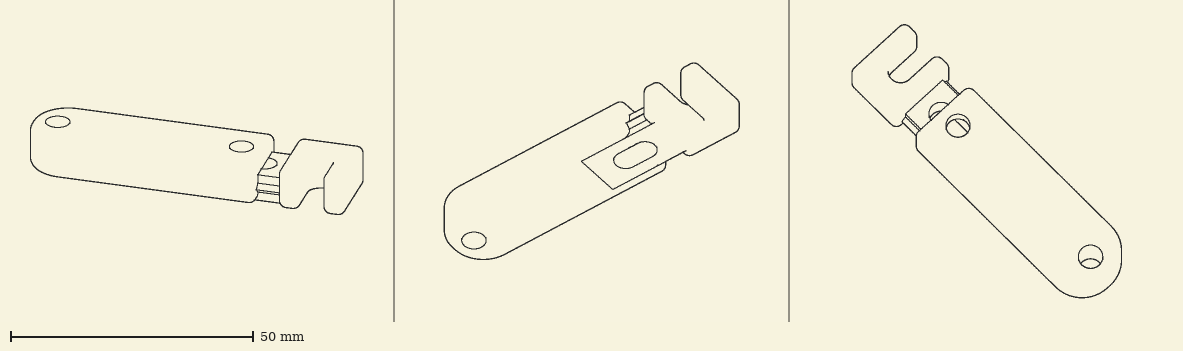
import cadquery as cq

total_length = 69.15
width = 16.0
height = 9.1
edge_radius = 1.5

housing_length = 50.0
rear_corner_radius = 7.55
rear_hole_diameter = 5.05
rear_hole_x = 5.45
pin_hole_diameter = 5.0
pin_hole_x = 44.95

slider_gap = 5.05
hook_slot_width = 5.1
hook_slot_x = 62.0
tongue_height = 5.95
tongue_width = 10.65
ridge_depth = 1.05
tongue_rear_wall = 5.0

head_start_x = housing_length + slider_gap
head_length = total_length - head_start_x
tongue_start_x = pin_hole_x - pin_hole_diameter / 2 - tongue_rear_wall
tongue_end_x = head_start_x + edge_radius
tongue_slot_end_x = pin_hole_x + slider_gap


def block(start_x, length, block_width, block_height):
    """Box centred on Y, standing on Z = 0."""
    return (
        cq.Workplane("XY")
        .box(length, block_width, block_height, centered=(False, True, False))
        .translate((start_x, 0, 0))
    )


def vertical_hole(x, diameter):
    """Cutter for a round hole through the full height."""
    return cq.Workplane("XY").center(x, 0).circle(diameter / 2).extrude(height)


def tongue_bar():
    """Bar with a 45 degree V ridge along the middle of each side."""
    half_width = tongue_width / 2
    ridge_z = tongue_height / 2
    profile = [
        (-half_width, 0),
        (half_width, 0),
        (half_width, ridge_z - ridge_depth),
        (half_width + ridge_depth, ridge_z),
        (half_width, ridge_z + ridge_depth),
        (half_width, tongue_height),
        (-half_width, tongue_height),
        (-half_width, ridge_z + ridge_depth),
        (-half_width - ridge_depth, ridge_z),
        (-half_width, ridge_z - ridge_depth),
    ]
    return (
        cq.Workplane("YZ", origin=(tongue_start_x, 0, 0))
        .polyline(profile)
        .close()
        .extrude(tongue_end_x - tongue_start_x)
    )


def hook_head():
    """Rounded block with a U slot open towards -Y."""
    slot_end = vertical_hole(hook_slot_x, hook_slot_width)
    slot_mouth = (
        cq.Workplane("XY")
        .box(hook_slot_width, width / 2, height, centered=(True, False, False))
        .translate((hook_slot_x, -width / 2, 0))
    )
    head = block(head_start_x, head_length, width, height)
    return head.cut(slot_end.union(slot_mouth)).edges().fillet(edge_radius)


def pin_slot():
    """Cutter for the slot that lets the tongue slide along a pin."""
    slot_length = tongue_slot_end_x - pin_hole_x + pin_hole_diameter
    slot_center_x = (pin_hole_x + tongue_slot_end_x) / 2
    return (
        cq.Workplane("XY")
        .center(slot_center_x, 0)
        .slot2D(slot_length, pin_hole_diameter)
        .extrude(height)
    )


def make_housing():
    """Rounded bar with two holes and a channel that fits the tongue."""
    bar = block(0, housing_length, width, height)
    bar = bar.edges("|Z and <X").fillet(rear_corner_radius)
    bar = bar.edges("|Z and >X").fillet(edge_radius)
    bar = bar.faces("<Z or >Z").edges().fillet(edge_radius)
    return (
        bar.cut(tongue_bar())
        .cut(vertical_hole(rear_hole_x, rear_hole_diameter))
        .cut(vertical_hole(pin_hole_x, pin_hole_diameter))
    )


def make_slider():
    """Hook head and slotted tongue in one piece."""
    return hook_head().union(tongue_bar().cut(pin_slot()))


housing = make_housing()
slider = make_slider()

result = cq.Compound.makeCompound([housing.solids().val(), slider.solids().val()])